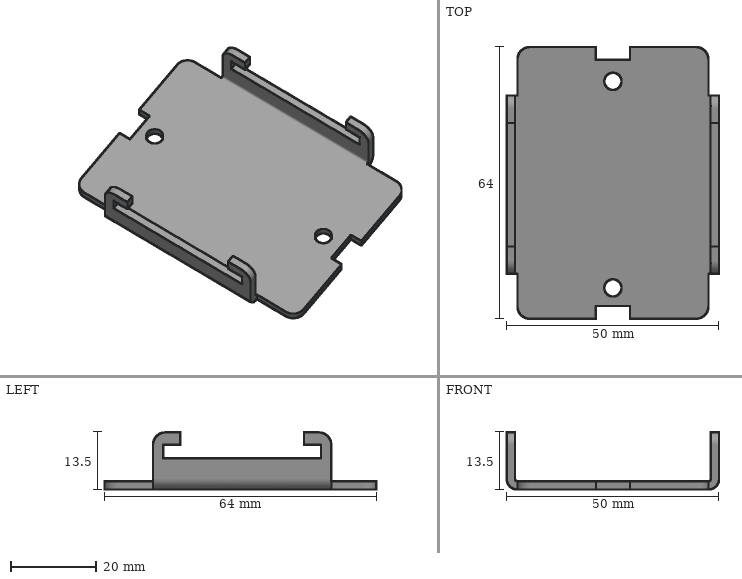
import cadquery as cq

thickness = 2.0
overall_width = 50.0
overall_height = 13.5

flange_length = 42.0
bend_inner_radius = 0.5
bend_outer_radius = bend_inner_radius + thickness
flange_corner_radius = 3.0

plate_width = overall_width - 2 * bend_outer_radius
plate_length = 64.0
plate_corner_radius = 3.0

notch_width = 8.0
notch_depth = 3.0
hole_diameter = 4.0
hole_spacing = 48.6

offset_y = -0.4

slot_length = 37.0
slot_bottom = 7.4
hook_thickness = 3.0
slot_top = overall_height - hook_thickness
mouth_length = 29.0


def centred_box(size_x, size_y, z_bottom, z_top):
    """Box centred on the Z axis between two heights."""
    box = cq.Workplane("XY").box(size_x, size_y, z_top - z_bottom, centered=(True, True, False))
    return box.translate((0, 0, z_bottom))


def make_plate():
    """Flat plate with rounded corners, end notches and two holes."""
    plate = centred_box(plate_width, plate_length, 0, thickness)
    plate = plate.edges("|Z").fillet(plate_corner_radius)
    notch_centres = [(0, side * (plate_length - notch_depth) / 2) for side in (-1, 1)]
    notches = (
        cq.Workplane("XY")
        .pushPoints(notch_centres)
        .rect(notch_width, notch_depth)
        .extrude(thickness)
    )
    hole_centres = [(0, offset_y + side * hole_spacing / 2) for side in (-1, 1)]
    holes = (
        cq.Workplane("XY")
        .pushPoints(hole_centres)
        .circle(hole_diameter / 2)
        .extrude(thickness)
    )
    return plate.cut(notches).cut(holes)


def make_channel():
    """U-shaped bent sheet whose upright walls are the side flanges."""
    inner_width = overall_width - 2 * thickness
    outer = centred_box(overall_width, flange_length, 0, overall_height)
    outer = outer.edges("|Y and <Z").fillet(bend_outer_radius)
    inner = centred_box(inner_width, flange_length, thickness, overall_height)
    inner = inner.edges("|Y and <Z").fillet(bend_inner_radius)
    return outer.cut(inner)


def shape_flanges(channel):
    """Round the upper flange corners and cut the hooked opening through both walls."""
    channel = channel.edges("|X and >Z").fillet(flange_corner_radius)
    slot = centred_box(overall_width, slot_length, slot_bottom, slot_top)
    mouth = centred_box(overall_width, mouth_length, slot_bottom, overall_height)
    return channel.cut(slot).cut(mouth)


flanges = shape_flanges(make_channel()).translate((0, offset_y, 0))
result = make_plate().union(flanges)